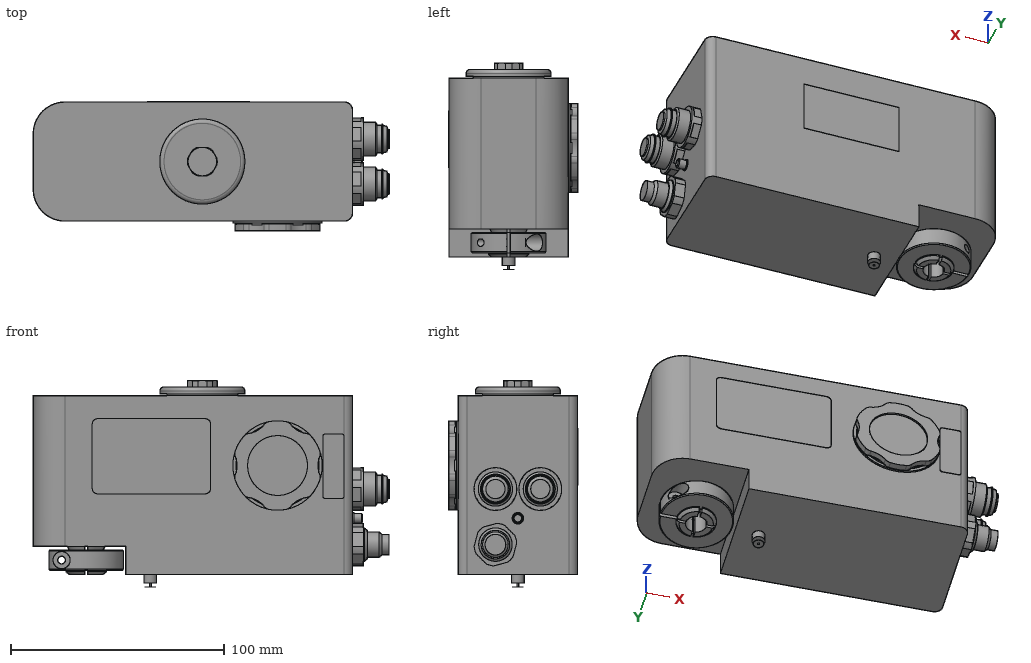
import cadquery as cq
import math

housing_length = 150.0
housing_width = 56.0
housing_height = 84.0
front_y = -housing_width / 2
back_y = housing_width / 2
step_length = 43.5
step_height = 13.2
end_radius = 15.0
connector_side_radius = 4.0

panel_depth = 0.2
display_x, display_z = 55.5, 55.5
display_length, display_height = 55.5, 35.3
display_corner = 2.5
label_length, label_height = 10.0, 30.3
label_x = housing_length - connector_side_radius - label_length / 2
label_z = 50.8
label_corner = 1.2
back_plate_x, back_plate_z = 77.6, 55.4
back_plate_length, back_plate_height = 48.0, 26.5
back_plate_thickness = 0.2

knob_x, knob_z = 114.7, 51.2
knob_diameter = 42.0
knob_height = 4.5
knob_flange_height = 0.8
knob_neck_diameter = 39.0
knob_neck_top = 1.7
knob_cap_bottom = 1.3
scallop_count = 6
scallop_radius = 10.9
scallop_depth = 2.0
scallop_edge_radius = 4.2
knob_recess_diameter = 28.1
knob_recess_depth = 0.8

cover_x = 79.5
cover_diameter = 40.0
cover_height = 4.2
cover_fillet = 2.0
cover_neck_diameter = 33.5
cover_neck_height = 0.8
head_across_flats = 13.4
head_corner_diameter = 14.0
head_height = 3.0
head_chamfer = 0.3

shaft_x = 25.0
shaft_bore = 10.0
sleeve_diameter = 16.0
sleeve_top_diameter = 17.7
sleeve_lip_diameter = 19.0
sleeve_lip_height = 1.3
slit_width = 1.3
clamp_diameter = 35.1
clamp_bottom, clamp_top = 2.0, 11.5
clamp_chamfer = 0.5
clamp_slot_width = 1.7
screw_offset = 11.5
screw_hole_diameter = 3.5
screw_head_diameter = 8.0
screw_head_seat = 8.0

pin_x = 55.0
pin_diameter = 6.0
pin_length = 4.0
pin_neck_diameter = 1.0
pin_tip_diameter = 5.0
pin_tip_thickness = 0.08
pin_total_length = 5.9

connector_spacing = 21.0
upper_connector_z, lower_connector_z = 40.1, 14.0
nut_across_flats = 18.9
nut_corner_diameter = 20.0
nut_length = 5.0
nut_collar_length = 1.2
upper_nut_angle, lower_nut_angle = 16.0, 45.0

barrel_diameter, barrel_length = 16.0, 10.7
barrel_end_diameter, barrel_end = 14.0, 11.4
spigot_diameter = 13.0
seal_diameter = 14.0
seal_start, seal_end = 13.5, 14.2
seal_bevel = 0.2
nose_diameter, nose_end = 12.0, 16.0
end_face_diameter, end_face_start = 9.0, 16.5
upper_connector_length = 17.2

shoulder_diameter, shoulder_length = 15.7, 5.5
shoulder_end_diameter, shoulder_end = 13.4, 6.9
stem_diameter, stem_end = 12.0, 12.4
tip_diameter, tip_start = 9.7, 13.7
lower_connector_length = 17.0

plug_z = 26.5
plug_diameter = 4.5
plug_flange_diameter = 5.4
plug_flange_length = 0.5
plug_length = 4.5
plug_chamfer = 0.5


def cylinder(diameter, height, x, y, z):
    """Vertical cylinder standing on (x, y, z)."""
    return cq.Workplane("XY").circle(diameter / 2).extrude(height).translate((x, y, z))


def rounded_hexagon(across_flats, corner_diameter, length):
    """Hexagonal prism along Z whose corners are turned down to a round."""
    hexagon = cq.Workplane("XY").polygon(6, across_flats / math.cos(math.pi / 6)).extrude(length)
    return hexagon.intersect(cq.Workplane("XY").circle(corner_diameter / 2).extrude(length))


def rounded_panel(length, height, corner, x, z):
    """Shallow cutter behind the front face, centred on (x, z)."""
    panel = cq.Workplane("XY").box(length, panel_depth, height).edges("|Y").fillet(corner)
    return panel.translate((x, front_y + panel_depth / 2, z))


def turned(profile):
    """Solid of revolution about Z from (radius, height) points; both ends close on the axis."""
    points = [(0, profile[0][1])] + profile + [(0, profile[-1][1])]
    return cq.Workplane("XZ").polyline(points).close().revolve(360, (0, 0), (0, 1))


def on_connector_face(shape, y, z):
    """Lay a shape built along Z onto the +X face of the housing."""
    return shape.rotate((0, 0, 0), (0, 1, 0), 90).translate((housing_length, y, z))


def make_housing():
    outline = [
        (0, step_height),
        (step_length, step_height),
        (step_length, 0),
        (housing_length, 0),
        (housing_length, housing_height),
        (0, housing_height),
    ]
    body = cq.Workplane("XZ").polyline(outline).close().extrude(housing_width / 2, both=True)
    body = body.edges("|Z and <X").fillet(end_radius)
    body = body.edges("|Z and >X").fillet(connector_side_radius)
    display = rounded_panel(display_length, display_height, display_corner, display_x, display_z)
    label = rounded_panel(label_length, label_height, label_corner, label_x, label_z)
    back_plate = cq.Workplane("XY").box(back_plate_length, back_plate_thickness, back_plate_height)
    back_plate = back_plate.translate((back_plate_x, back_y + back_plate_thickness / 2, back_plate_z))
    return body.cut(display).cut(label).union(back_plate)


def make_knob():
    """Flange, narrower neck and a scalloped cap with a shallow round recess."""
    flange = cylinder(knob_diameter, knob_flange_height, 0, 0, 0)
    neck = cylinder(knob_neck_diameter, knob_neck_top, 0, 0, 0)
    cap = cylinder(knob_diameter, knob_height - knob_cap_bottom, 0, 0, knob_cap_bottom)
    scallops = (
        cq.Workplane("XY")
        .polarArray(knob_diameter / 2 - scallop_depth + scallop_radius, 0, 360, scallop_count)
        .circle(scallop_radius)
        .extrude(knob_height)
    )
    cap = cap.cut(scallops).edges("|Z").fillet(scallop_edge_radius)
    recess = cylinder(knob_recess_diameter, knob_recess_depth, 0, 0, knob_height - knob_recess_depth)
    knob = flange.union(neck).union(cap).cut(recess)
    return knob.rotate((0, 0, 0), (1, 0, 0), 90).translate((knob_x, front_y, knob_z))


def make_cover():
    neck = cylinder(cover_neck_diameter, cover_neck_height, 0, 0, 0)
    disc = cylinder(cover_diameter, cover_height - cover_neck_height, 0, 0, cover_neck_height)
    disc = disc.faces(">Z").edges().fillet(cover_fillet)
    head = rounded_hexagon(head_across_flats, head_corner_diameter, head_height)
    chamfered_round = cylinder(head_corner_diameter, head_height, 0, 0, 0).faces(">Z").chamfer(head_chamfer)
    head = head.intersect(chamfered_round).translate((0, 0, cover_height))
    return neck.union(disc).union(head).translate((cover_x, 0, housing_height))


def make_shaft_sleeve():
    """Collet sleeve with a tapered root and lip, slit crosswise into four fingers."""
    radius = sleeve_diameter / 2
    lip_radius = sleeve_lip_diameter / 2
    profile = [
        (radius, 0),
        (lip_radius, sleeve_lip_height),
        (lip_radius, clamp_bottom),
        (radius, clamp_bottom),
        (radius, clamp_top),
        (sleeve_top_diameter / 2, step_height),
    ]
    sleeve = turned(profile).cut(cylinder(shaft_bore, step_height, 0, 0, 0))
    slit = cq.Workplane("XY").box(sleeve_lip_diameter, slit_width, step_height, centered=(True, True, False))
    sleeve = sleeve.cut(slit).cut(slit.rotate((0, 0, 0), (0, 0, 1), 90))
    return sleeve.translate((shaft_x, 0, 0))


def make_clamp_ring():
    """Clamp ring split towards -X, with a counterbored screw hole across the split."""
    height = clamp_top - clamp_bottom
    radius = clamp_diameter / 2
    ring = cylinder(clamp_diameter, height, 0, 0, 0).faces("<Z or >Z").chamfer(clamp_chamfer)
    ring = ring.cut(cylinder(sleeve_diameter, height, 0, 0, 0))
    split = cq.Workplane("XY").box(radius, clamp_slot_width, height, centered=(False, True, False))
    ring = ring.cut(split.translate((-radius, 0, 0)))
    screw_plane = cq.Workplane("XZ").center(-screw_offset, height / 2)
    screw_hole = screw_plane.circle(screw_hole_diameter / 2).extrude(radius, both=True)
    screw_head = screw_plane.workplane(offset=screw_head_seat).circle(screw_head_diameter / 2).extrude(radius)
    return ring.cut(screw_hole).cut(screw_head).translate((shaft_x, 0, clamp_bottom))


def make_pin():
    """Pin with a thin end disc carried on a slim neck."""
    pin = cylinder(pin_diameter, pin_length, pin_x, 0, -pin_length)
    neck = cylinder(pin_neck_diameter, pin_total_length, pin_x, 0, -pin_total_length)
    tip = cylinder(pin_tip_diameter, pin_tip_thickness, pin_x, 0, -pin_total_length)
    return pin.union(neck).union(tip)


def make_nut(angle):
    nut = rounded_hexagon(nut_across_flats, nut_corner_diameter, nut_length)
    return nut.rotate((0, 0, 0), (0, 0, 1), angle)


def make_upper_connector():
    profile = [
        (barrel_diameter / 2, 0),
        (barrel_diameter / 2, barrel_length),
        (barrel_end_diameter / 2, barrel_end),
        (spigot_diameter / 2, barrel_end),
        (spigot_diameter / 2, seal_start),
        (seal_diameter / 2, seal_start + seal_bevel),
        (seal_diameter / 2, seal_end - seal_bevel),
        (spigot_diameter / 2, seal_end),
        (nose_diameter / 2, nose_end),
        (end_face_diameter / 2, end_face_start),
        (end_face_diameter / 2, upper_connector_length),
    ]
    collar = cylinder(nut_corner_diameter, nut_collar_length, 0, 0, nut_length - nut_collar_length)
    return turned(profile).union(make_nut(upper_nut_angle)).union(collar)


def make_lower_connector():
    profile = [
        (shoulder_diameter / 2, 0),
        (shoulder_diameter / 2, shoulder_length),
        (shoulder_end_diameter / 2, shoulder_end),
        (stem_diameter / 2, shoulder_end),
        (stem_diameter / 2, stem_end),
        (tip_diameter / 2, tip_start),
        (tip_diameter / 2, lower_connector_length),
    ]
    return turned(profile).union(make_nut(lower_nut_angle))


def make_plug():
    plug = cylinder(plug_diameter, plug_length, 0, 0, 0).faces(">Z").chamfer(plug_chamfer)
    return plug.union(cylinder(plug_flange_diameter, plug_flange_length, 0, 0, 0))


result = make_housing()
for feature in (make_knob(), make_cover(), make_shaft_sleeve(), make_clamp_ring(), make_pin()):
    result = result.union(feature)
upper_connector = make_upper_connector()
for side in (-1, 1):
    result = result.union(on_connector_face(upper_connector, side * connector_spacing / 2, upper_connector_z))
result = result.union(on_connector_face(make_lower_connector(), -connector_spacing / 2, lower_connector_z))
result = result.union(on_connector_face(make_plug(), 0, plug_z))